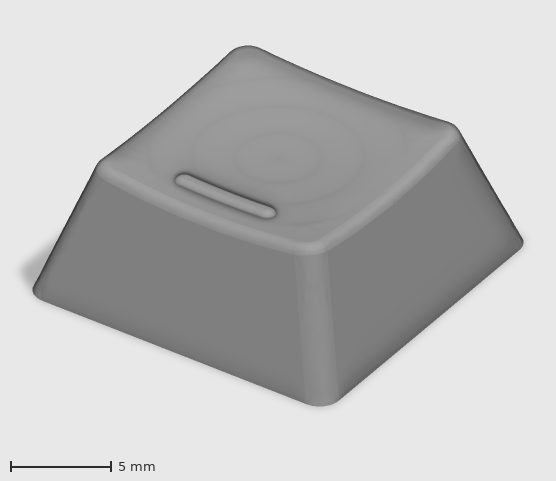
import cadquery as cq
import math

base_side = 18.3
wall_angle = 18.0
blank_height = 9.0
corner_radius = 1.25
rim_radius = 0.6

dish_radius = 45.0
dish_bottom_z = 6.51
dish_center_z = dish_bottom_z + dish_radius

bar_length = 6.0
bar_width = 1.05
bar_y = -4.65
bar_rise = 0.3
bar_edge_radius = 0.4
bar_root_depth = 1.0
bar_root_z = dish_bottom_z - bar_root_depth


def dish_sphere(radius):
    """Ball concentric with the dish, used as a cutter."""
    return cq.Workplane("XY").sphere(radius).translate((0, 0, dish_center_z))


def make_body():
    top_side = base_side - 2 * blank_height * math.tan(math.radians(wall_angle))
    frustum = (
        cq.Workplane("XY")
        .rect(base_side, base_side)
        .workplane(offset=blank_height)
        .rect(top_side, top_side)
        .loft(ruled=True)
    )
    rounded = frustum.edges("not(#Z)").fillet(corner_radius)
    dished = rounded.cut(dish_sphere(dish_radius))
    return dished.faces("%SPHERE").edges().fillet(rim_radius)


def make_homing_bar():
    blank = (
        cq.Workplane("XY", origin=(0, bar_y, bar_root_z))
        .slot2D(bar_length, bar_width)
        .extrude(blank_height - bar_root_z)
    )
    trimmed = blank.cut(dish_sphere(dish_radius - bar_rise))
    return trimmed.faces("%SPHERE").edges().fillet(bar_edge_radius)


result = make_body().union(make_homing_bar())